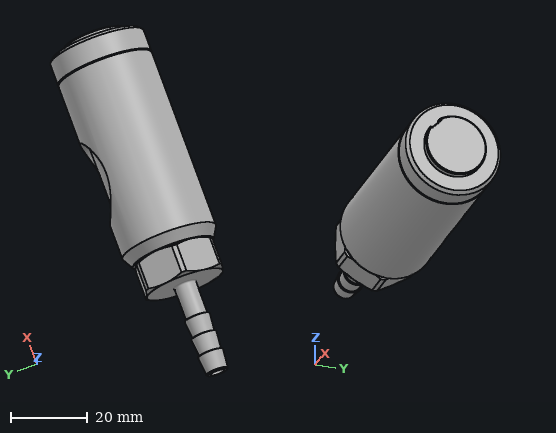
import cadquery as cq
import math

total_length = 95.1
nut_start = 25.0
body_start = 33.9
body_end = 93.2
seam_groove_start = 86.1

tail_radius = 3.0
tail_tip_chamfer = 0.3
tail_bore_radius = 2.0
barb_radius = 3.5
barb_root_radius = 3.05
barb_pitch = 5.1
barb_count = 3
barb_land = 0.3
tail_root_fillet = 0.5

nut_across_flats = 21.0
nut_corner_radius = 11.75
nut_face_radius = 10.5
nut_chamfer_angle = 30.0

body_radius = 13.0
shoulder_radius = 11.2
shoulder_angle = 30.0
body_end_chamfer = 0.9
seam_groove_width = 0.3
seam_groove_depth = 0.15

window_center_x = 58.0
window_half_length = 11.5
window_half_height = 8.5
window_floor_radius = 10.95

ring_radius = 8.25
ring_chamfer = 0.3
notch_width = 3.6
notch_floor_offset = 7.55
notch_angle = 45.0


def revolve_about_x(profile):
    """Revolve a closed profile drawn as (X, radius) about the X axis."""
    return profile.close().revolve(360, (0, 0, 0), (1, 0, 0))


def make_hose_tail():
    profile = (
        cq.Workplane("XY")
        .lineTo(0, tail_radius - tail_tip_chamfer)
        .lineTo(tail_tip_chamfer, tail_radius)
    )
    for index in range(barb_count):
        barb_end = barb_pitch * (index + 1) + barb_land
        is_last = index == barb_count - 1
        next_radius = tail_radius if is_last else barb_root_radius
        profile = (
            profile.lineTo(barb_end - barb_land, barb_radius)
            .lineTo(barb_end, barb_radius)
            .lineTo(barb_end, next_radius)
        )
    profile = (
        profile.lineTo(nut_start - tail_root_fillet, tail_radius)
        .radiusArc((nut_start, tail_radius + tail_root_fillet), -tail_root_fillet)
        .lineTo(nut_start, 0)
    )
    return revolve_about_x(profile)


def make_nut():
    across_corners = nut_across_flats / math.cos(math.radians(30))
    hexagon = (
        cq.Workplane("YZ", origin=(nut_start, 0, 0))
        .transformed(rotate=(0, 0, 90))
        .polygon(6, across_corners)
        .extrude(body_start - nut_start)
    )
    slope = math.tan(math.radians(nut_chamfer_angle))
    chamfer_length = (nut_corner_radius - nut_face_radius) * slope
    envelope = revolve_about_x(
        cq.Workplane("XY")
        .moveTo(nut_start, 0)
        .lineTo(nut_start, nut_face_radius)
        .lineTo(nut_start + chamfer_length, nut_corner_radius)
        .lineTo(body_start - chamfer_length, nut_corner_radius)
        .lineTo(body_start, nut_face_radius)
        .lineTo(body_start, 0)
    )
    return hexagon.intersect(envelope)


def make_body():
    shoulder_slope = math.tan(math.radians(shoulder_angle))
    shoulder_length = (body_radius - shoulder_radius) / shoulder_slope
    groove_radius = body_radius - seam_groove_depth
    groove_end = seam_groove_start + seam_groove_width
    return revolve_about_x(
        cq.Workplane("XY")
        .moveTo(body_start, 0)
        .lineTo(body_start, shoulder_radius)
        .lineTo(body_start + shoulder_length, body_radius)
        .lineTo(seam_groove_start, body_radius)
        .lineTo(seam_groove_start, groove_radius)
        .lineTo(groove_end, groove_radius)
        .lineTo(groove_end, body_radius)
        .lineTo(body_end - body_end_chamfer, body_radius)
        .lineTo(body_end, body_radius - body_end_chamfer)
        .lineTo(body_end, 0)
    )


def make_window_cutter():
    """Elliptical opening whose floor is a cylinder concentric with the body."""
    opening = (
        cq.Workplane("XZ")
        .center(window_center_x, 0)
        .ellipse(window_half_length, window_half_height)
        .extrude(-body_radius)
    )
    core = (
        cq.Workplane("YZ", origin=(body_start, 0, 0))
        .circle(window_floor_radius)
        .extrude(body_end - body_start)
    )
    return opening.cut(core)


def make_end_ring():
    ring_length = total_length - body_end
    ring = (
        cq.Workplane("YZ", origin=(body_end, 0, 0))
        .circle(ring_radius)
        .extrude(ring_length)
        .faces(">X")
        .chamfer(ring_chamfer)
    )
    notch = (
        cq.Workplane("XY", origin=(body_end, 0, notch_floor_offset))
        .box(ring_length, notch_width, ring_radius, centered=(False, True, False))
        .rotate((0, 0, 0), (1, 0, 0), notch_angle)
    )
    return ring.cut(notch)


def make_tail_bore():
    return cq.Workplane("YZ").circle(tail_bore_radius).extrude(body_start)


result = (
    make_hose_tail()
    .union(make_nut())
    .union(make_body())
    .union(make_end_ring())
    .cut(make_window_cutter())
    .cut(make_tail_bore())
)